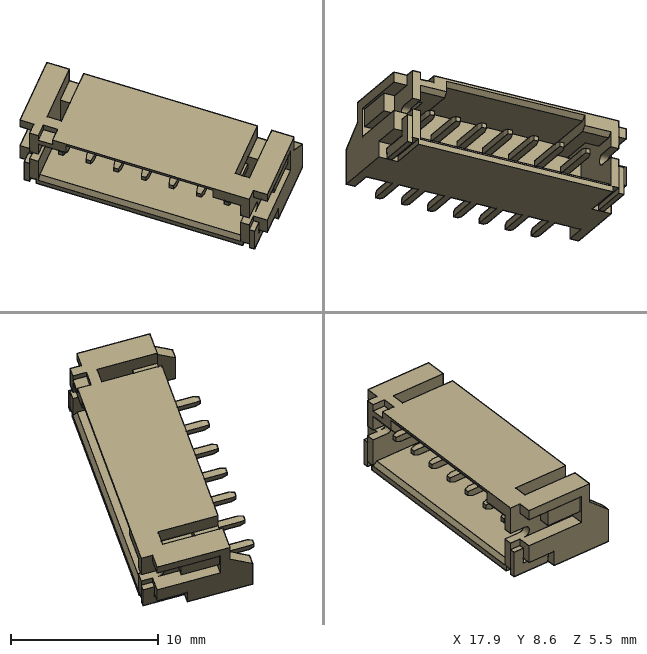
import cadquery as cq
import math


LENGTH = 17.9
HALF_LENGTH = LENGTH / 2
HEIGHT = 5.5
BODY_DEPTH = 6.0

WING_WIDTH = 0.68
WING_DEPTH = 7.6
WING_REAR_HEIGHT = 2.65
WING_FRONT_HEIGHT = 4.0

SIDE_DEPTH = 1.0
FRONT_STEP_DEPTH = 0.8
POCKET_TOP = 4.73
POCKET_REAR = 5.3
LATCH_INSET = 0.18
LATCH_FRONT = 2.58

CAVITY_INSET = 1.63
CAVITY_HALF_WIDTH = HALF_LENGTH - CAVITY_INSET
CAVITY_REAR = 4.25
CAVITY_FLOOR = 0.7
SIDE_CEILING = 4.19
MAIN_CEILING = 4.98
MAIN_HALF_WIDTH = 5.32
LEAD_IN_DEPTH = 0.3
FLOOR_LEAD_IN = 0.29
CEILING_LEAD_IN = 0.32

SLOT_BOTTOM = 2.58
SLOT_TOP = 3.38
SLOT_REAR = 1.61

GROOVE_WIDTH = 1.04
GROOVE_FRONT = 1.72
MARK_LENGTH = 0.97
MARK_FLOOR = 4.98

TAB_THICKNESS = 0.4
TAB_HEIGHT = 2.04
TAB_STRIP_HEIGHT = 0.8
TAB_LENGTH = 2.95
TAB_END_RELIEF = 0.05
TAB_RECESS_HEIGHT = 1.18
CHANNEL_WIDTH = 0.47
CHANNEL_HEIGHT = 0.41

PIN_COUNT = 7
PIN_ROW_LENGTH = 12
PIN_PITCH = PIN_ROW_LENGTH / (PIN_COUNT - 1)
PIN_SIZE = 0.5
PIN_CENTRE_Z = 3.1
PIN_TIP_Y = 0.8
PIN_REAR = 8.6
PIN_TAPER_LENGTH = 0.38
PIN_TIP_SIZE = 0.34
PIN_BEND_RADIUS = 0.27


def box(x, y, z):
    """Box between the (low, high) limits on each axis."""
    size = (x[1] - x[0], y[1] - y[0], z[1] - z[0])
    return cq.Workplane("XY").box(*size, centered=False).translate((x[0], y[0], z[0]))


def left_side(inset_low, inset_high):
    """X limits of a left-hand feature from its distances inward from the outer side."""
    return (inset_low - HALF_LENGTH, inset_high - HALF_LENGTH)


def both_sides(shape):
    """A left-hand feature together with its mirror image on the right."""
    return shape.union(shape.mirror("YZ"))


def body_blank():
    wing = (
        cq.Workplane("YZ", origin=(-HALF_LENGTH, 0, 0))
        .moveTo(BODY_DEPTH, 0)
        .lineTo(WING_DEPTH, 0)
        .lineTo(WING_DEPTH, WING_REAR_HEIGHT)
        .lineTo(BODY_DEPTH, WING_FRONT_HEIGHT)
        .close()
        .extrude(WING_WIDTH)
    )
    block = box((-HALF_LENGTH, HALF_LENGTH), (0, BODY_DEPTH), (0, HEIGHT))
    return block.union(both_sides(wing))


def cavity_part(half_width, ceiling):
    """Part of the cavity under one ceiling height, with sloped lead-ins at floor and ceiling."""
    return (
        cq.Workplane("YZ", origin=(-half_width, 0, 0))
        .moveTo(0, CAVITY_FLOOR - FLOOR_LEAD_IN)
        .lineTo(LEAD_IN_DEPTH, CAVITY_FLOOR)
        .lineTo(CAVITY_REAR, CAVITY_FLOOR)
        .lineTo(CAVITY_REAR, ceiling)
        .lineTo(LEAD_IN_DEPTH, ceiling)
        .lineTo(0, ceiling + CEILING_LEAD_IN)
        .close()
        .extrude(2 * half_width)
    )


def mating_cavity():
    full_width = cavity_part(CAVITY_HALF_WIDTH, SIDE_CEILING)
    raised_middle = cavity_part(MAIN_HALF_WIDTH, MAIN_CEILING)
    return full_width.union(raised_middle)


def side_cuts():
    """Front step and side pocket, leaving a latch block at the pocket's rear."""
    side = left_side(0, SIDE_DEPTH)
    step = box(side, (0, FRONT_STEP_DEPTH), (0, HEIGHT))
    pocket = box(side, (0, POCKET_REAR), (SLOT_BOTTOM, POCKET_TOP))
    latch = box(left_side(LATCH_INSET, SIDE_DEPTH), (LATCH_FRONT, POCKET_REAR), (SLOT_TOP, POCKET_TOP))
    return both_sides(step.union(pocket.cut(latch)))


def side_wall_slots():
    radius = (SLOT_TOP - SLOT_BOTTOM) / 2
    arc_start = SLOT_REAR - radius
    slot = (
        cq.Workplane("YZ", origin=(SIDE_DEPTH - HALF_LENGTH, 0, 0))
        .moveTo(0, SLOT_BOTTOM)
        .lineTo(arc_start, SLOT_BOTTOM)
        .threePointArc((SLOT_REAR, SLOT_BOTTOM + radius), (arc_start, SLOT_TOP))
        .lineTo(0, SLOT_TOP)
        .close()
        .extrude(CAVITY_INSET - SIDE_DEPTH)
    )
    return both_sides(slot)


def tab_recesses():
    """Side recess for each solder tab, with a low channel inward of it along the board."""
    recess = box(left_side(0, SIDE_DEPTH), (0, TAB_LENGTH), (0, TAB_RECESS_HEIGHT))
    channel = box(left_side(SIDE_DEPTH, SIDE_DEPTH + CHANNEL_WIDTH), (0, TAB_LENGTH), (0, CHANNEL_HEIGHT))
    return both_sides(recess.union(channel))


def roof_openings():
    """Two grooves open to the rear, and one notch at the front that marks the left end."""
    width = left_side(CAVITY_INSET, CAVITY_INSET + GROOVE_WIDTH)
    groove = box(width, (GROOVE_FRONT, BODY_DEPTH), (SIDE_CEILING, HEIGHT))
    mark = box(width, (0, MARK_LENGTH), (MARK_FLOOR, HEIGHT))
    return both_sides(groove).union(mark)


def pin_taper(start_y, tip_y, centre_z):
    """Square pin end narrowing from its full section to its tip."""
    tip_direction = 1 if tip_y > start_y else -1
    plane = cq.Plane(origin=(0, start_y, centre_z), xDir=(1, 0, 0), normal=(0, tip_direction, 0))
    return (
        cq.Workplane(plane)
        .rect(PIN_SIZE, PIN_SIZE)
        .workplane(offset=PIN_TAPER_LENGTH)
        .rect(PIN_TIP_SIZE, PIN_TIP_SIZE)
        .loft(ruled=True)
    )


def pin():
    """Visible lengths of one pin: the contact in the cavity and the foot behind the housing."""
    contact_start = PIN_TIP_Y + PIN_TAPER_LENGTH
    foot_end = PIN_REAR - PIN_TAPER_LENGTH
    half = PIN_SIZE / 2
    width = (-half, half)
    contact = box(width, (contact_start, CAVITY_REAR), (PIN_CENTRE_Z - half, PIN_CENTRE_Z + half))
    arc_centre_y = BODY_DEPTH + PIN_BEND_RADIUS
    arc_centre_z = PIN_SIZE + PIN_BEND_RADIUS
    arc_offset = PIN_BEND_RADIUS * math.sqrt(0.5)
    foot = (
        cq.Workplane("YZ", origin=(-half, 0, 0))
        .moveTo(BODY_DEPTH, 0)
        .lineTo(foot_end, 0)
        .lineTo(foot_end, PIN_SIZE)
        .lineTo(arc_centre_y, PIN_SIZE)
        .threePointArc((arc_centre_y - arc_offset, arc_centre_z - arc_offset), (BODY_DEPTH, arc_centre_z))
        .close()
        .extrude(PIN_SIZE)
    )
    contact = contact.union(pin_taper(contact_start, PIN_TIP_Y, PIN_CENTRE_Z))
    foot = foot.union(pin_taper(foot_end, PIN_REAR, half))
    return contact, foot


def make_housing():
    body = body_blank()
    body = body.cut(mating_cavity())
    body = body.cut(side_cuts())
    body = body.cut(side_wall_slots())
    body = body.cut(tab_recesses())
    body = body.cut(roof_openings())
    contact, foot = pin()
    for index in range(PIN_COUNT):
        offset = (index * PIN_PITCH - PIN_ROW_LENGTH / 2, 0, 0)
        body = body.union(contact.translate(offset)).union(foot.translate(offset))
    return body


def make_solder_tab():
    """L-shaped plate on the left side: an upright at the front and a strip along the board."""
    thickness = left_side(SIDE_DEPTH - TAB_THICKNESS, SIDE_DEPTH)
    upright = box(thickness, (0, FRONT_STEP_DEPTH), (0, TAB_HEIGHT))
    strip = box(thickness, (0, TAB_LENGTH), (0, TAB_STRIP_HEIGHT))
    end_relief = box(thickness, (TAB_LENGTH - TAB_END_RELIEF, TAB_LENGTH), (0, CHANNEL_HEIGHT))
    return upright.union(strip).cut(end_relief)


housing = make_housing()
left_tab = make_solder_tab()
solder_tabs = [left_tab, left_tab.mirror("YZ")]

result = cq.Compound.makeCompound([housing.val(), *[tab.val() for tab in solder_tabs]])